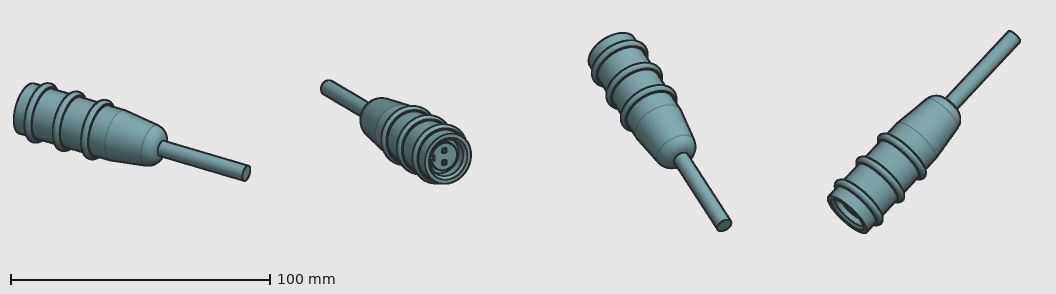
import cadquery as cq

total_length = 98.0
sleeve_length = 40.6
taper_end = 55.7
housing_length = 60.2

sleeve_radius = 20.3 / 2
taper_end_radius = 8.2
cable_radius = 6.2 / 2

ring_count = 3
ring_pitch = 12.6
first_ring_center = 6.7
ring_width = 3.0
ring_side_radius = 10.8
ring_outer_radius = 23.8 / 2

mouth_radius = 8.4
bore_radius = 14.6 / 2
mouth_depth = 1.2
bore_depth = 5.0

carrier_radius = 11.4 / 2
carrier_height = 2.0
carrier_edge_chamfer = 0.2
key_width = 2.1
key_floor_y = 4.1

contact_pitch = 4.8
contact_mouth_radius = 2.3 / 2
contact_radius = 1.8 / 2
contact_depth = 2.0
contact_cone_depth = 0.9
contact_tip_radius = 0.21 / 2


def revolve_about_x(profile):
    """Turn a closed profile of (X, radius) points around the X axis."""
    return profile.close().revolve(360, (0, 0, 0), (1, 0, 0))


def make_housing():
    """Straight sleeve, taper and a rounded nose that ends at the cable."""
    profile = (
        cq.Workplane("XY")
        .lineTo(0, sleeve_radius)
        .lineTo(sleeve_length, sleeve_radius)
        .lineTo(taper_end, taper_end_radius)
        .tangentArcPoint((housing_length, cable_radius), relative=False)
        .lineTo(housing_length, 0)
    )
    return revolve_about_x(profile)


def make_cable():
    profile = (
        cq.Workplane("XY")
        .moveTo(sleeve_length, 0)
        .lineTo(sleeve_length, cable_radius)
        .lineTo(total_length, cable_radius)
        .lineTo(total_length, 0)
    )
    return revolve_about_x(profile)


def make_ring(center):
    start = center - ring_width / 2
    end = center + ring_width / 2
    root_radius = (mouth_radius + sleeve_radius) / 2
    profile = (
        cq.Workplane("XY")
        .moveTo(start, root_radius)
        .lineTo(start, ring_side_radius)
        .threePointArc((center, ring_outer_radius), (end, ring_side_radius))
        .lineTo(end, root_radius)
    )
    return revolve_about_x(profile)


def make_socket_bore():
    profile = (
        cq.Workplane("XY")
        .lineTo(0, mouth_radius)
        .lineTo(mouth_depth, bore_radius)
        .lineTo(bore_depth, bore_radius)
        .lineTo(bore_depth, 0)
    )
    return revolve_about_x(profile)


def make_carrier():
    carrier_face = bore_depth - carrier_height
    carrier = (
        cq.Workplane("YZ", origin=(carrier_face, 0, 0))
        .circle(carrier_radius)
        .extrude(carrier_height)
        .faces("<X")
        .chamfer(carrier_edge_chamfer)
    )
    keyway = cq.Workplane("XY").box(
        carrier_height, carrier_radius, key_width, centered=(False, False, True)
    )
    return carrier.cut(keyway.translate((carrier_face, key_floor_y, 0)))


def make_contact_hole(z):
    start = bore_depth - carrier_height
    cone_start = start + contact_depth
    profile = (
        cq.Workplane("XY")
        .moveTo(start, 0)
        .lineTo(start, contact_mouth_radius)
        .lineTo(start + contact_mouth_radius - contact_radius, contact_radius)
        .lineTo(cone_start, contact_radius)
        .lineTo(cone_start + contact_cone_depth, contact_tip_radius)
        .lineTo(cone_start + contact_cone_depth, 0)
    )
    return revolve_about_x(profile).translate((0, 0, z))


result = make_housing().union(make_cable())
for index in range(ring_count):
    result = result.union(make_ring(first_ring_center + index * ring_pitch))
result = result.cut(make_socket_bore()).union(make_carrier())
for side in (-1, 1):
    result = result.cut(make_contact_hole(side * contact_pitch / 2))